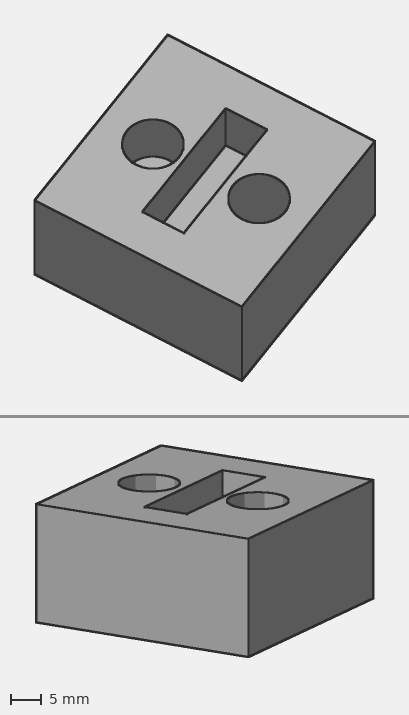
import cadquery as cq

side = 40.0
height = side / 2

hole_diameter = side / 4
blind_hole_x = -10.0
through_hole_x = 10.5

slot_width = 8.0
slot_length = 25.0

pocket_depth = height / 2


def round_cutter(x, depth):
    """Cylinder reaching down from the top face."""
    return cq.Workplane("XY", origin=(x, 0, height - depth)).circle(hole_diameter / 2).extrude(depth)


def slot_cutter():
    """Rectangular prism reaching down from the centre of the top face."""
    floor = cq.Workplane("XY", origin=(0, 0, height - pocket_depth))
    return floor.rect(slot_width, slot_length).extrude(pocket_depth)


block = cq.Workplane("XY").box(side, side, height, centered=(True, True, False))

result = (
    block.cut(round_cutter(blind_hole_x, pocket_depth))
    .cut(round_cutter(through_hole_x, height))
    .cut(slot_cutter())
)